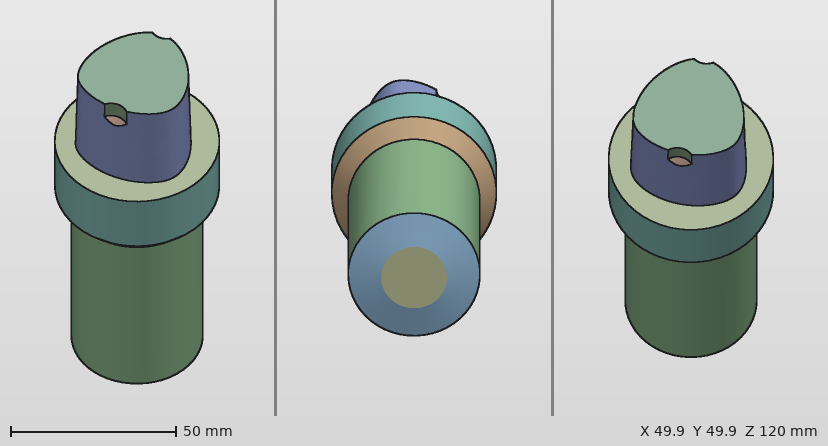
import cadquery as cq
import math

total_height = 120.0
polygon_height = 30.0
flange_height = 20.0
flange_cone_height = 6.0

flange_radius = 49.9 / 2
shank_radius = 40.0 / 2
bottom_face_radius = 10.0
bottom_cone_height = 2.6

polygon_base_radius = 17.5
polygon_taper = 1 / 40
lobe_height = 1.2
outline_points = 48

notch_radius = 5.0
notch_wall_depth = 5.5
front_notch_inner_y = -13.8
back_notch_inner_y = 16.5

flange_top = total_height - polygon_height
flange_bottom = flange_top - flange_height
shank_top = flange_bottom - flange_cone_height


def round_body():
    """Shank and flange, revolved about Z."""
    return (
        cq.Workplane("XZ")
        .moveTo(0, 0)
        .lineTo(bottom_face_radius, 0)
        .lineTo(shank_radius, bottom_cone_height)
        .lineTo(shank_radius, shank_top)
        .lineTo(flange_radius, flange_bottom)
        .lineTo(flange_radius, flange_top)
        .lineTo(0, flange_top)
        .close()
        .revolve(360, (0, 0), (0, 1))
    )


def lobed_point(mean_radius, angle):
    """Point of a constant-width curve whose outward normal is at the angle."""
    lobe_phase = 3 * (angle - math.pi / 2)
    reach = mean_radius + lobe_height * math.cos(lobe_phase)
    shift = -3 * lobe_height * math.sin(lobe_phase)
    x = reach * math.cos(angle) - shift * math.sin(angle)
    y = reach * math.sin(angle) + shift * math.cos(angle)
    return x, y


def lobed_wire(mean_radius, z):
    angles = [2 * math.pi * i / outline_points for i in range(outline_points)]
    points = [cq.Vector(*lobed_point(mean_radius, angle), z) for angle in angles]
    return cq.Wire.assembleEdges([cq.Edge.makeSpline(points, periodic=True)])


def polygon_taper_shank():
    top_radius = polygon_base_radius - polygon_taper * polygon_height
    base = lobed_wire(polygon_base_radius, flange_top)
    top = lobed_wire(top_radius, total_height)
    return cq.Workplane(obj=cq.Solid.makeLoft([base, top], True))


def notch_cutter(axis_y):
    """Upright drill shape with a 45 degree tip."""
    wall_bottom = total_height - notch_wall_depth
    return (
        cq.Workplane("XZ", origin=(0, axis_y, 0))
        .moveTo(0, wall_bottom - notch_radius)
        .lineTo(notch_radius, wall_bottom)
        .lineTo(notch_radius, total_height)
        .lineTo(0, total_height)
        .close()
        .revolve(360, (0, 0), (0, 1))
    )


result = round_body().union(polygon_taper_shank())
for notch_axis_y in (front_notch_inner_y - notch_radius, back_notch_inner_y + notch_radius):
    result = result.cut(notch_cutter(notch_axis_y))